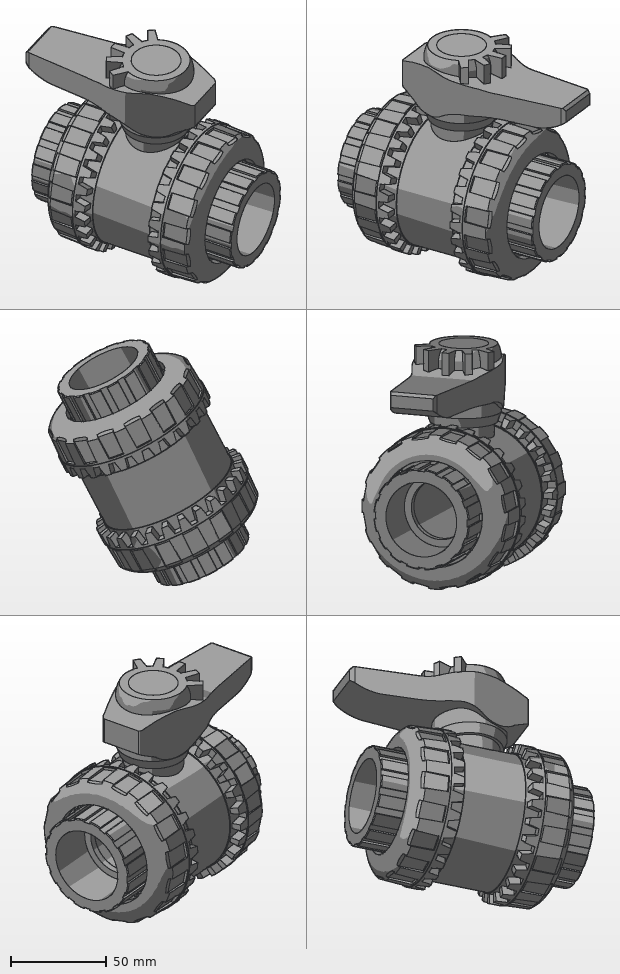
import cadquery as cq
import math


bore_radius = 32.0 / 2
collar_radius = 37.6
housing_half_length = 30.3
nut_lip_inner_x = 40.4

barrel_radius = 74.0 / 2
barrel_half_length = 17.1
neck_radius = 16.1
neck_top = 40.9

connector_end_x = 60.0
socket_radius = 40.0 / 2
socket_depth = 26.1
pad_outer_radius = 54.0 / 2
connector_radius = 25.9
pad_root_radius = 23.7
grip_count = 16
grip_pitch = 360 / grip_count
connector_pad_angle = 14.2
connector_pad_bevel = 0.5
rib_count = 8
rib_width = 3.7
rib_tip_x = 42.2
rib_tip_height = 27.6

nut_face_x = 45.6
nut_lip_radius = 57.4 / 2
nut_face_radius = 63.5 / 2
shoulder_x, shoulder_radius = 40.4, 41.4
shoulder_mid_x, shoulder_mid_radius = 44.0, 37.5
nut_band_x = 26.5
grip_zone_end_radius = 42.1
nut_band_radius = 85.1 / 2
nut_rim_outer_x = 19.1
nut_rim_inner_x = 18.3
cut_clearance = 1.3
tooth_count = 27
tooth_slot_floor_x = 24.9
tooth_slot_floor_width = 3.7
tooth_slot_mouth_width = 6.6
recess_outer_x, recess_kink_x, recess_inner_x = 42.9, 40.8, 27.6
recess_outer_radius, recess_kink_radius, recess_inner_radius = 39.5, 40.2, 40.5
recess_outer_width = 9.4
recess_inner_width = 8.7

hub_radius = 19.8
hub_foot_radius = 18.0
hub_cone_top = 46.3
hub_dome_bottom = 76.8
overall_height = 125.0
hub_top = overall_height - nut_band_radius
hub_top_radius = 17.8
overall_length = 131.9
lever_tip_x = connector_end_x - overall_length
lever_tail_x = 29.3
lever_top, lever_bottom = 69.8, 55.3
lever_tip_bevel = 1.6
lever_tip_corner = 2.4
lever_y_offset = 0.4
gear_tooth_count = 5
gear_tooth_pitch = 27.5
gear_tooth_radius = 26.1
gear_tooth_tip_width = 4.0
gear_tooth_root_width = 5.3
gear_tooth_bottom = 66.0
cap_radius = 26.1 / 2
cap_depth = 2.6


def revolved(outline):
    """Turn a closed outline of (x, radius) points about the X axis."""
    return cq.Workplane("XY").polyline(outline).close().revolve(360, (0, 0, 0), (1, 0, 0))


def around_x(shape, count, first_angle=0.0):
    """Equally spaced copies of a shape around the X axis, as a list."""
    return [
        shape.rotate((0, 0, 0), (1, 0, 0), first_angle + i * 360 / count) for i in range(count)
    ]


def on_other_end(shape):
    return shape.rotate((0, 0, 0), (0, 0, 1), 180)


def make_housing():
    half_profile = [
        (housing_half_length, collar_radius),
        (barrel_half_length, collar_radius),
        (barrel_half_length, barrel_radius),
    ]
    mirrored = [(-x, r) for x, r in reversed(half_profile)]
    outline = half_profile + mirrored + [(-housing_half_length, 0), (housing_half_length, 0)]
    neck = cq.Workplane("XY").circle(neck_radius).extrude(neck_top)
    flow_bore = cq.Workplane("YZ").circle(bore_radius).extrude(housing_half_length, both=True)
    return revolved(outline).union(neck).cut(flow_bore)


def make_connector():
    """End connector on the -X side: socket tube with flange, grip pads and short ribs."""
    shoulder = connector_end_x - socket_depth
    connector = revolved([
        (-connector_end_x, socket_radius),
        (-connector_end_x, connector_radius),
        (-nut_lip_inner_x, connector_radius),
        (-nut_lip_inner_x, collar_radius),
        (-housing_half_length, collar_radius),
        (-housing_half_length, bore_radius),
        (-shoulder, bore_radius),
        (-shoulder, socket_radius),
    ])

    pad_outline = [
        (-connector_end_x, pad_outer_radius - connector_pad_bevel),
        (-connector_end_x + connector_pad_bevel, pad_outer_radius),
        (-nut_lip_inner_x, pad_outer_radius),
        (-nut_lip_inner_x, pad_root_radius),
        (-connector_end_x, pad_root_radius),
    ]
    pad = (
        cq.Workplane("XY").polyline(pad_outline).close()
        .revolve(connector_pad_angle, (0, 0, 0), (1, 0, 0))
        .rotate((0, 0, 0), (1, 0, 0), (grip_pitch - connector_pad_angle) / 2)
    )
    for copy in around_x(pad, grip_count):
        connector = connector.union(copy)

    rib_root_height = math.sqrt(nut_lip_radius**2 - (rib_width / 2) ** 2)
    rib = (
        cq.Workplane("XY")
        .polyline([
            (-rib_tip_x, pad_root_radius),
            (-rib_tip_x, rib_tip_height),
            (-nut_lip_inner_x, rib_root_height),
            (-nut_lip_inner_x, pad_root_radius),
        ])
        .close()
        .extrude(rib_width / 2, both=True)
    )
    for copy in around_x(rib, rib_count):
        connector = connector.union(copy)
    return connector


def make_nut_blank():
    return (
        cq.Workplane("XY")
        .moveTo(-nut_face_x, nut_lip_radius)
        .lineTo(-nut_face_x, nut_face_radius)
        .threePointArc((-shoulder_mid_x, shoulder_mid_radius), (-shoulder_x, shoulder_radius))
        .lineTo(-nut_band_x, grip_zone_end_radius)
        .lineTo(-nut_band_x, nut_band_radius)
        .lineTo(-nut_rim_outer_x, nut_band_radius)
        .lineTo(-nut_rim_inner_x, collar_radius)
        .lineTo(-nut_lip_inner_x, collar_radius)
        .lineTo(-nut_lip_inner_x, nut_lip_radius)
        .close()
        .revolve(360, (0, 0, 0), (1, 0, 0))
    )


def make_grip_recess():
    """Cutter for one flat-floored grip recess on the -Y side of the nut, tapering towards the band."""
    clearance_radius = nut_band_radius + cut_clearance
    side = (
        cq.Workplane("XY")
        .polyline([
            (-recess_outer_x, -recess_outer_radius),
            (-recess_kink_x, -recess_kink_radius),
            (-recess_inner_x, -recess_inner_radius),
            (-recess_inner_x, -clearance_radius),
            (-recess_outer_x, -clearance_radius),
        ])
        .close()
        .extrude(recess_outer_width, both=True)
    )
    plan = (
        cq.Workplane("XZ")
        .polyline([
            (-recess_outer_x, -recess_outer_width / 2),
            (-recess_inner_x, -recess_inner_width / 2),
            (-recess_inner_x, recess_inner_width / 2),
            (-recess_outer_x, recess_outer_width / 2),
        ])
        .close()
        .extrude(clearance_radius)
    )
    return side.intersect(plan)


def tooth_slot_section(radius):
    """Slot outline at a distance from the axis on the -Y side; its width grows with that distance."""
    widening = radius / nut_band_radius
    floor_half = tooth_slot_floor_width / 2 * widening
    mouth_half = tooth_slot_mouth_width / 2 * widening
    return (
        cq.Workplane("XZ")
        .workplane(offset=radius)
        .polyline([
            (-tooth_slot_floor_x, -floor_half),
            (-nut_rim_inner_x, -mouth_half),
            (-nut_rim_inner_x, mouth_half),
            (-tooth_slot_floor_x, floor_half),
        ])
        .close()
        .wires()
        .val()
    )


def make_tooth_slot():
    """Cutter for one flaring slot through the nut rim, with radial side walls."""
    sections = [tooth_slot_section(barrel_radius), tooth_slot_section(nut_band_radius + cut_clearance)]
    return cq.Workplane(cq.Solid.makeLoft(sections, True))


def make_nut():
    """Union nut on the -X side."""
    nut = make_nut_blank()
    for recess in around_x(make_grip_recess(), grip_count, grip_pitch / 2):
        nut = nut.cut(recess)
    for slot in around_x(make_tooth_slot(), tooth_count):
        nut = nut.cut(slot)
    return nut


def make_lever():
    """Wing lever: its side outline and its plan outline, extruded across each other."""
    side = (
        cq.Workplane("XZ")
        .moveTo(lever_tip_x, lever_top - lever_tip_bevel)
        .lineTo(lever_tip_x + lever_tip_bevel, lever_top)
        .lineTo(-33.1, lever_top)
        .threePointArc((-29.7, 69.9), (-26.4, 70.5))
        .threePointArc((-9.2, 74.0), (7.7, 75.7))
        .threePointArc((17.1, 74.4), (lever_tail_x, 70.8))
        .lineTo(lever_tail_x, 56.7)
        .lineTo(19.8, 52.0)
        .threePointArc((9.6, 47.7), (-1.8, 51.2))
        .threePointArc((-6.9, 53.8), (-12.8, lever_bottom))
        .lineTo(-55.4, lever_bottom)
        .threePointArc((-66.3, 58.2), (lever_tip_x, 61.6))
        .close()
        .extrude(hub_top, both=True)
    )
    half_plan = (
        cq.Workplane("XY")
        .moveTo(lever_tip_x, 0)
        .lineTo(lever_tip_x, 11.9)
        .lineTo(lever_tip_x + lever_tip_corner, 13.0)
        .lineTo(-34.3, 16.6)
        .threePointArc((-26.4, 18.3), (-19.7, 21.1))
        .threePointArc((-14.5, 22.7), (-9.2, 23.6))
        .threePointArc((-5.5, 23.6), (-1.8, 23.0))
        .lineTo(26.5, 13.2)
        .threePointArc((28.5, 12.3), (lever_tail_x, 11.0))
        .lineTo(lever_tail_x, 0)
        .close()
        .extrude(hub_top)
    )
    plan = half_plan.union(half_plan.mirror("XZ"))
    return side.intersect(plan).translate((0, lever_y_offset, 0))


def make_hub():
    return (
        cq.Workplane("XZ")
        .moveTo(0, neck_top)
        .lineTo(hub_foot_radius, neck_top)
        .lineTo(hub_radius, hub_cone_top)
        .lineTo(hub_radius, hub_dome_bottom)
        .threePointArc((19.1, 79.7), (hub_top_radius, hub_top))
        .lineTo(0, hub_top)
        .close()
        .revolve(360, (0, 0, 0), (0, 1, 0))
    )


def make_gear_tooth():
    """One tooth of the hub's partial gear, pointing along -X."""
    return (
        cq.Workplane("XY")
        .workplane(offset=gear_tooth_bottom)
        .polyline([
            (-gear_tooth_radius, -gear_tooth_tip_width / 2),
            (-gear_tooth_radius, gear_tooth_tip_width / 2),
            (-hub_top_radius, gear_tooth_root_width / 2),
            (0, 0),
            (-hub_top_radius, -gear_tooth_root_width / 2),
        ])
        .close()
        .extrude(hub_top - gear_tooth_bottom)
    )


def make_cap():
    """Cap disc set flush into the top of the handle."""
    return (
        cq.Workplane("XY").workplane(offset=hub_top - cap_depth).circle(cap_radius).extrude(cap_depth)
    )


def make_handle():
    handle = make_lever().union(make_hub())
    for i in range(gear_tooth_count):
        angle = (i - (gear_tooth_count - 1) / 2) * gear_tooth_pitch
        handle = handle.union(make_gear_tooth().rotate((0, 0, 0), (0, 0, 1), angle))
    return handle.cut(make_cap())


housing = make_housing()
left_connector = make_connector()
left_nut = make_nut()
connectors = [left_connector, on_other_end(left_connector)]
nuts = [left_nut, on_other_end(left_nut)]
handle = make_handle()
cap = make_cap()

parts = [housing, *connectors, *nuts, handle, cap]
result = cq.Compound.makeCompound([part.val() for part in parts])